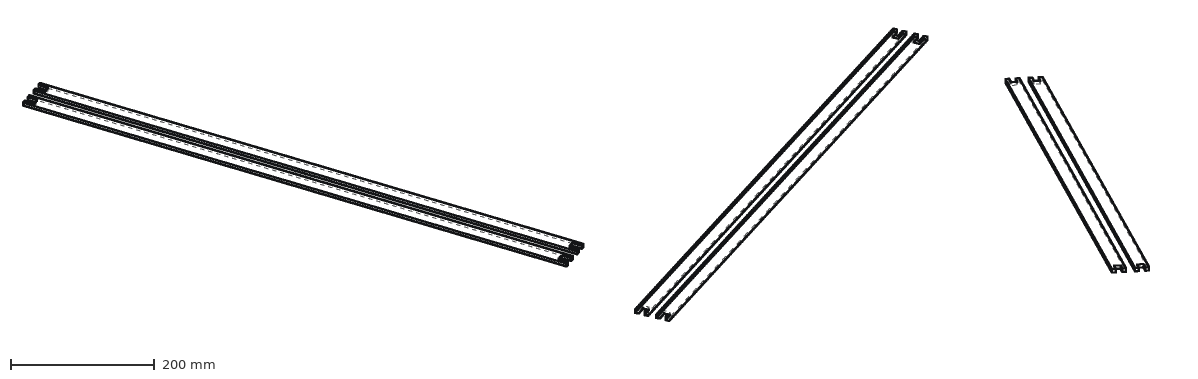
import cadquery as cq

length = 846.0
overall_width = 52.5
thickness = 5.0

inner_edge = 6.3

prong_width = 5.5
body_length = 816.0

bar_width = overall_width / 2 - inner_edge
bar_offset = inner_edge + bar_width / 2
notch_width = bar_width - 2 * prong_width
notch_depth = (length - body_length) / 2


def make_bar(center_y):
    """Flat bar along X with a rectangular notch that forks each end into two prongs."""
    bar = cq.Workplane("XY").box(length, bar_width, thickness)
    notches = (
        cq.Workplane("XY")
        .pushPoints([(-length / 2, 0), (length / 2, 0)])
        .box(2 * notch_depth, notch_width, thickness)
    )
    return bar.cut(notches).translate((0, center_y, 0))


bars = [make_bar(side * bar_offset) for side in (-1, 1)]

result = cq.Compound.makeCompound([bar.val() for bar in bars])